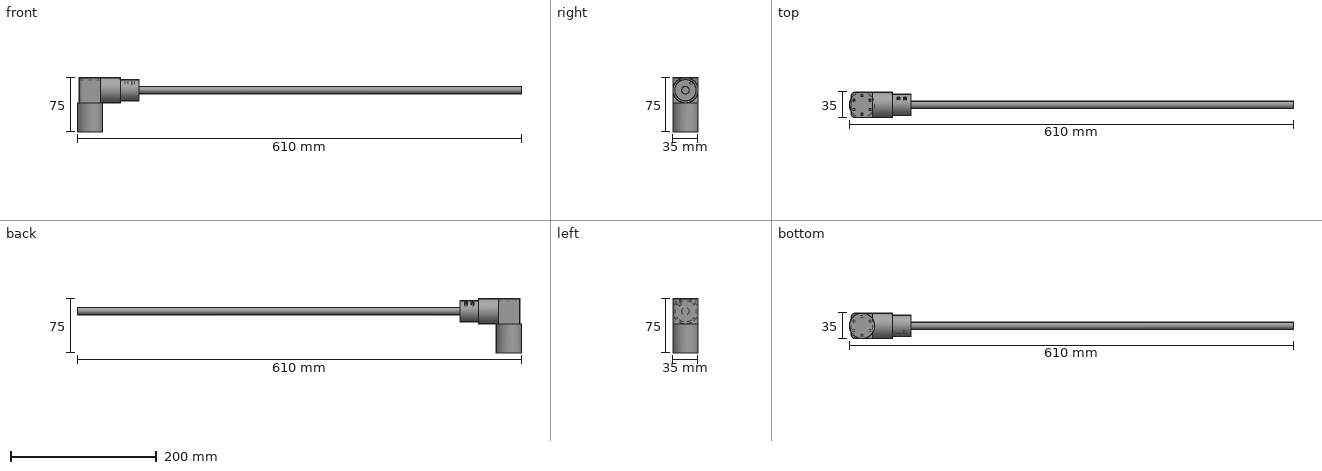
import cadquery as cq
import math

total_length = 610.0
total_height = 75.0
body_diameter = 35.0
body_radius = body_diameter / 2

block_left = 2.5
block_right = 32.0
block_corner_radius = 5.5
sleeve_end = 59.0

screw_count = 6
screw_circle_radius = 13.0
screw_hole_diameter = 3.0
screw_hole_depth = 3.0

gland_diameter = 29.0
gland_end = 85.0
cable_diameter = 10.5

clamp_hole_diameter = 4.0
clamp_hole_depth = 3.5
clamp_hole_angle = 40.0
clamp_hole_spacing = 9.0

plug_axis_x = body_radius
block_bottom = total_height - body_diameter
cable_axis_z = total_height - body_radius


def cylinder_along_x(start, end, diameter):
    """Round bar on the cable axis between two X positions."""
    plane = cq.Workplane("YZ", origin=(start, 0, cable_axis_z))
    return plane.circle(diameter / 2).extrude(end - start)


def make_plug():
    """Upright round plug below the block."""
    plane = cq.Workplane("XY", origin=(plug_axis_x, 0, 0))
    return plane.circle(body_radius).extrude(block_bottom)


def make_housing():
    """Block with two rounded edges, its sleeve and a ring of screw holes."""
    block = (
        cq.Workplane("XY", origin=(block_left, 0, block_bottom))
        .rect(block_right - block_left, body_diameter, centered=(False, True))
        .extrude(body_diameter)
        .edges("|Z and <X")
        .fillet(block_corner_radius)
    )
    sleeve = cylinder_along_x(block_right, sleeve_end, body_diameter)
    screw_holes = (
        cq.Workplane("XY", origin=(plug_axis_x, 0, total_height))
        .polarArray(screw_circle_radius, 90, 360, screw_count)
        .circle(screw_hole_diameter / 2)
        .extrude(-screw_hole_depth)
    )
    return block.union(sleeve).cut(screw_holes)


def make_gland():
    """Round gland with two radial clamping holes side by side."""
    gland = cylinder_along_x(sleeve_end, gland_end, gland_diameter)
    tilt = math.radians(clamp_hole_angle)
    outward = cq.Vector(0, math.sin(tilt), math.cos(tilt))
    gland_radius = gland_diameter / 2
    floor_radius = gland_radius - clamp_hole_depth
    middle_x = (sleeve_end + gland_end) / 2
    for side in (-1, 1):
        axis_point = cq.Vector(middle_x + side * clamp_hole_spacing / 2, 0, cable_axis_z)
        hole = cq.Solid.makeCylinder(
            clamp_hole_diameter / 2,
            gland_radius,
            axis_point + outward * floor_radius,
            outward,
        )
        gland = gland.cut(cq.Workplane(hole))
    return gland


def make_cable():
    """Straight cable butting against the end of the gland."""
    return cylinder_along_x(gland_end, total_length, cable_diameter)


plug = make_plug()
housing = make_housing()
gland = make_gland()
cable = make_cable()

result = cq.Compound.makeCompound([plug.val(), housing.val(), gland.val(), cable.val()])